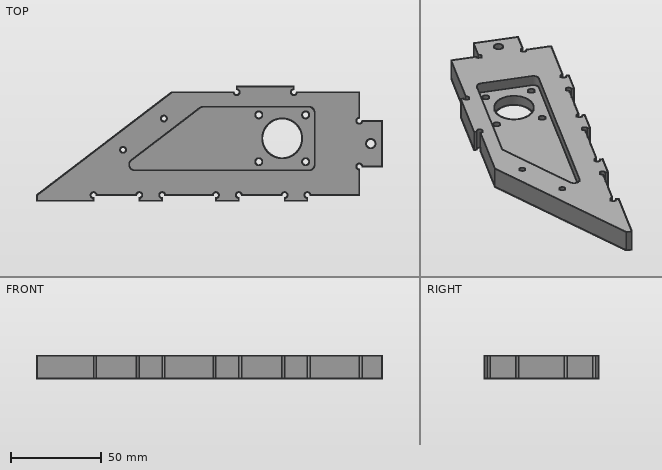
import cadquery as cq

length = 191.82
width = 63.5
thickness = 12.7

finger_depth = 3.175
finger_width = 12.7
body_bottom = finger_depth
body_top = width - finger_depth
relief_diameter = 3.17

outer_gap = 25.4
middle_gap = 29.9
first_gap_start = 31.5
second_gap_start = first_gap_start + outer_gap + finger_width
third_gap_start = second_gap_start + middle_gap + finger_width
lower_gaps = [
    (first_gap_start, first_gap_start + outer_gap),
    (second_gap_start, second_gap_start + middle_gap),
    (third_gap_start, third_gap_start + outer_gap),
]
last_finger_end = third_gap_start + outer_gap + finger_width

upper_tab_start = 111.0
upper_tab_end = upper_tab_start + 31.75

end_tab_length = 12.7
end_tab_width = 25.4
end_tab_hole_diameter = 5.08
body_right = length - end_tab_length
end_tab_bottom = (width - end_tab_width) / 2
end_tab_top = end_tab_bottom + end_tab_width

slope_top_x = 74.9
slope = (body_top - body_bottom) / slope_top_x

pocket_depth = 6.35
pocket_bottom = 16.9
pocket_top = 52.2
pocket_right = 154.3
pocket_slope_top_x = 91.3
pocket_slope_bottom_x = pocket_slope_top_x - (pocket_top - pocket_bottom) / slope
pocket_corner_radius = 3.175

motor_x = 136.3
motor_y = 34.7
motor_bore_diameter = 22.0
motor_screw_diameter = 3.81
motor_screw_spacing = 26.0

rim_hole_diameter = 3.17
rim_holes = [(47.9, 28.3), (70.6, 45.7)]


def through_holes(points, diameter):
    """Cylinders through the full plate thickness."""
    return cq.Workplane("XY").pushPoints(points).circle(diameter / 2).extrude(thickness)


def make_plate():
    """Plate with its sloping edge, finger gaps and tabs."""
    outline = [(0, 0)]
    for start, end in lower_gaps:
        outline += [(start, 0), (start, body_bottom), (end, body_bottom), (end, 0)]
    outline += [
        (last_finger_end, 0),
        (last_finger_end, body_bottom),
        (body_right, body_bottom),
        (body_right, end_tab_bottom),
        (length, end_tab_bottom),
        (length, end_tab_top),
        (body_right, end_tab_top),
        (body_right, body_top),
        (upper_tab_end, body_top),
        (upper_tab_end, width),
        (upper_tab_start, width),
        (upper_tab_start, body_top),
        (slope_top_x, body_top),
        (0, body_bottom),
    ]
    return cq.Workplane("XY").polyline(outline).close().extrude(thickness)


def make_corner_reliefs():
    """Round reliefs centred on every inside corner of the outline."""
    corners = [(x, body_bottom) for gap in lower_gaps for x in gap]
    corners += [
        (last_finger_end, body_bottom),
        (upper_tab_start, body_top),
        (upper_tab_end, body_top),
        (body_right, end_tab_bottom),
        (body_right, end_tab_top),
    ]
    return through_holes(corners, relief_diameter)


def make_pocket():
    """Four-sided pocket with rounded upright corners."""
    outline = [
        (pocket_slope_bottom_x, pocket_bottom),
        (pocket_right, pocket_bottom),
        (pocket_right, pocket_top),
        (pocket_slope_top_x, pocket_top),
    ]
    floor = cq.Workplane("XY").workplane(offset=thickness - pocket_depth)
    pocket = floor.polyline(outline).close().extrude(pocket_depth)
    return pocket.edges("|Z").fillet(pocket_corner_radius)


def make_motor_holes():
    """Central bore with a square of four screw holes."""
    half = motor_screw_spacing / 2
    screws = [(motor_x + i * half, motor_y + j * half) for i in (-1, 1) for j in (-1, 1)]
    bore = through_holes([(motor_x, motor_y)], motor_bore_diameter)
    return bore.union(through_holes(screws, motor_screw_diameter))


end_tab_hole = [(body_right + end_tab_length / 2, width / 2)]

result = (
    make_plate()
    .cut(make_corner_reliefs())
    .cut(make_pocket())
    .cut(make_motor_holes())
    .cut(through_holes(rim_holes, rim_hole_diameter))
    .cut(through_holes(end_tab_hole, end_tab_hole_diameter))
)